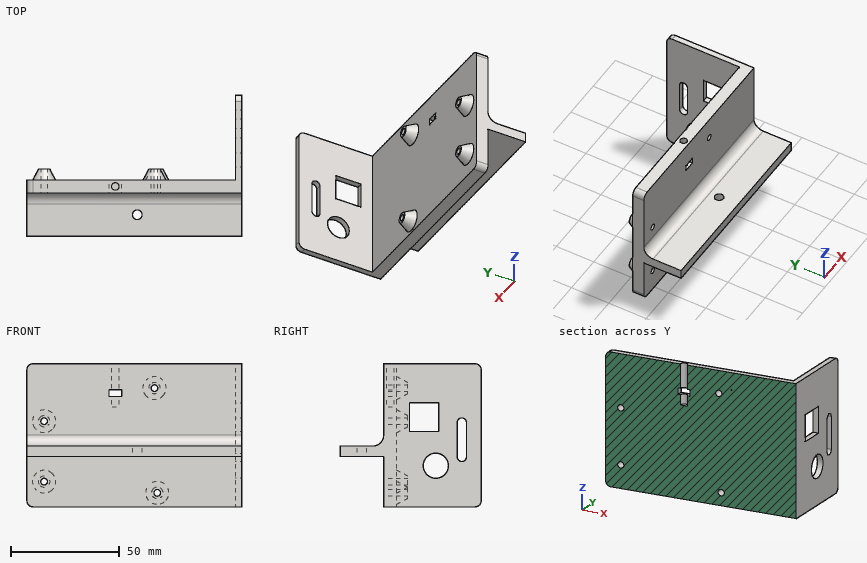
import cadquery as cq

length = 99.0
height = 66.0
plate_thickness = 6.0
corner_radius = 3.0

wall_thickness = 3.0
wall_reach = 45.0

shelf_reach = 20.0
shelf_thickness = 4.95
shelf_bottom = 23.2
shelf_fillet = 4.95
shelf_hole_diameter = 4.4
shelf_hole_x = 50.9

standoff_height = 5.0
standoff_base_diameter = 10.6
standoff_tip_diameter = 5.2
screw_hole_diameter = 3.0
standoff_positions = [(8.0, 11.7), (8.0, 39.5), (58.8, 54.7), (60.1, 6.5)]

nut_slot_width = 5.7
nut_slot_height = 3.0
nut_slot_x = 40.8
nut_slot_z = 52.5
bolt_hole_diameter = 3.5
bolt_hole_depth = 20.0

window_width = 13.4
window_height = 13.1
window_y = 18.7
window_z = 41.4
round_opening_diameter = 11.5
round_opening_y = 24.1
round_opening_z = 19.0
slot_length = 20.0
slot_width = 4.2
slot_y = 36.0
slot_z = 31.0


def make_box(x_size, y_size, z_size, corner):
    """Box whose minimum corner sits at the given point."""
    return cq.Workplane("XY").box(x_size, y_size, z_size, centered=False).translate(corner)


def make_plate():
    plate = make_box(length, plate_thickness, height, (0, 0, 0))
    return plate.edges("|Y and <X").fillet(corner_radius)


def make_end_wall():
    wall = make_box(wall_thickness, wall_reach, height, (length - wall_thickness, 0, 0))
    return wall.edges("|X and >Y").fillet(corner_radius)


def make_shelf():
    """Shelf profile in the YZ plane, with a concave fillet above the shelf."""
    shelf_top = shelf_bottom + shelf_thickness
    return (
        cq.Workplane("YZ")
        .moveTo(0, shelf_bottom)
        .lineTo(-shelf_reach, shelf_bottom)
        .lineTo(-shelf_reach, shelf_top)
        .lineTo(-shelf_fillet, shelf_top)
        .radiusArc((0, shelf_top + shelf_fillet), -shelf_fillet)
        .close()
        .extrude(length)
    )


def make_standoff(x, z):
    base_centre = cq.Vector(x, plate_thickness, z)
    cone = cq.Solid.makeCone(
        standoff_base_diameter / 2,
        standoff_tip_diameter / 2,
        standoff_height,
        base_centre,
        cq.Vector(0, 1, 0),
    )
    return cq.Workplane(cone)


def make_screw_hole(x, z):
    return cq.Workplane(
        cq.Solid.makeCylinder(
            screw_hole_diameter / 2,
            plate_thickness + standoff_height,
            cq.Vector(x, 0, z),
            cq.Vector(0, 1, 0),
        )
    )


def make_shelf_hole():
    return (
        cq.Workplane("XY", origin=(shelf_hole_x, -shelf_reach / 2, shelf_bottom))
        .circle(shelf_hole_diameter / 2)
        .extrude(shelf_thickness)
    )


def make_nut_trap():
    slot_corner = (nut_slot_x - nut_slot_width / 2, 0, nut_slot_z - nut_slot_height / 2)
    nut_slot = make_box(nut_slot_width, plate_thickness, nut_slot_height, slot_corner)
    bolt_hole = (
        cq.Workplane("XY", origin=(nut_slot_x, plate_thickness / 2, height))
        .circle(bolt_hole_diameter / 2)
        .extrude(-bolt_hole_depth)
    )
    return nut_slot.union(bolt_hole)


def make_wall_openings():
    wall_plane = cq.Workplane("YZ", origin=(length - wall_thickness, 0, 0))
    window = wall_plane.center(window_y, window_z).rect(window_width, window_height).extrude(wall_thickness)
    round_opening = (
        wall_plane.center(round_opening_y, round_opening_z)
        .circle(round_opening_diameter / 2)
        .extrude(wall_thickness)
    )
    slot = wall_plane.center(slot_y, slot_z).slot2D(slot_length, slot_width, 90).extrude(wall_thickness)
    return window.union(round_opening).union(slot)


result = make_plate().union(make_end_wall()).union(make_shelf())
for x, z in standoff_positions:
    result = result.union(make_standoff(x, z))
for x, z in standoff_positions:
    result = result.cut(make_screw_hole(x, z))
result = result.cut(make_shelf_hole()).cut(make_nut_trap()).cut(make_wall_openings())